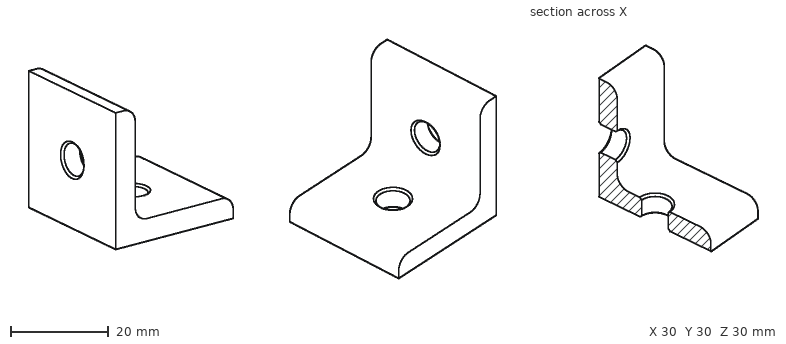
import cadquery as cq

leg_length = 30.0
width = 30.0
thickness = 5.0
edge_radius = 3.0
hole_diameter = 7.0
hole_chamfer = 0.5
hole_distance = leg_length / 2


def angle_body():
    """L-section in the YZ plane, outer corner on the X axis, extruded along +X."""
    outline = (
        cq.Workplane("YZ")
        .polyline([
            (0, 0),
            (leg_length, 0),
            (leg_length, thickness),
            (thickness, thickness),
            (thickness, leg_length),
            (0, leg_length),
        ])
        .close()
    )
    return outline.extrude(width)


def round_inner_edges(body):
    """Round the inside corner and the inner edge of each leg tip."""
    inner_corner = (width / 2, thickness, thickness)
    base_tip = (width / 2, leg_length, thickness)
    upright_tip = (width / 2, thickness, leg_length)
    for point in (inner_corner, base_tip, upright_tip):
        nearest_edge = cq.selectors.NearestToPointSelector(point)
        body = body.edges("|X").edges(nearest_edge).fillet(edge_radius)
    return body


def chamfered_hole(origin, direction):
    """Cutter for one leg's hole, flared at both faces; origin lies on the outer face."""
    outer_plane = cq.Plane(origin=origin, xDir=(1, 0, 0), normal=direction)
    bore_radius = hole_diameter / 2
    mouth_radius = bore_radius + hole_chamfer
    bore = cq.Workplane(outer_plane).circle(bore_radius).extrude(thickness)
    outer_flare = (
        cq.Workplane(outer_plane)
        .circle(mouth_radius)
        .workplane(offset=hole_chamfer)
        .circle(bore_radius)
        .loft()
    )
    inner_flare = (
        cq.Workplane(outer_plane)
        .workplane(offset=thickness - hole_chamfer)
        .circle(bore_radius)
        .workplane(offset=hole_chamfer)
        .circle(mouth_radius)
        .loft()
    )
    return bore.union(outer_flare).union(inner_flare)


base_hole = chamfered_hole((width / 2, hole_distance, 0), (0, 0, 1))
upright_hole = chamfered_hole((width / 2, 0, hole_distance), (0, 1, 0))

result = round_inner_edges(angle_body()).cut(base_hole).cut(upright_hole)